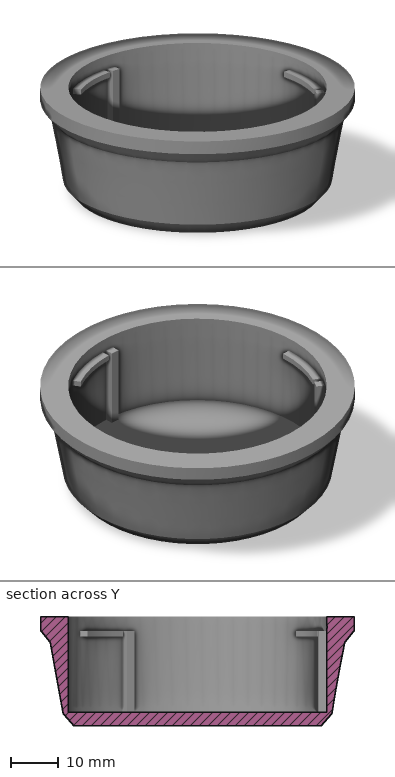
import cadquery as cq
import math

height = 23.0
rim_radius = 33.0
rim_height = 2.85
shoulder_height = 2.6
wall_top_radius = 30.95
wall_bottom_radius = 28.25
base_radius = 25.95
base_chamfer_height = 2.65

cavity_radius = 54.2 / 2
floor_thickness = 3.0

catch_count = 3
wall_overlap = 0.3
catch_inner_radius = 25.35
post_width = 1.9
post_angle = 63.7
catch_top = 20.0
tab_start_angle = 68.0
tab_end_angle = 95.7
tab_thickness = 1.2


def polar_point(radius, angle):
    """Return the XY point at a radius and an angle in degrees."""
    return radius * math.cos(math.radians(angle)), radius * math.sin(math.radians(angle))


def make_cup():
    """Revolve the flanged, tapered body and bore its flat-bottomed cavity."""
    rim_bottom = height - rim_height
    body = (
        cq.Workplane("XZ")
        .moveTo(0, 0)
        .lineTo(base_radius, 0)
        .lineTo(wall_bottom_radius, base_chamfer_height)
        .lineTo(wall_top_radius, rim_bottom - shoulder_height)
        .lineTo(rim_radius, rim_bottom)
        .lineTo(rim_radius, height)
        .lineTo(0, height)
        .close()
        .revolve(360, (0, 0, 0), (0, 1, 0))
    )
    cavity = (
        cq.Workplane("XY")
        .workplane(offset=floor_thickness)
        .circle(cavity_radius)
        .extrude(height - floor_thickness)
    )
    return body.cut(cavity)


def make_post():
    """Make the upright stop post, standing on the floor and rooted in the wall."""
    depth = cavity_radius + wall_overlap - catch_inner_radius
    post = cq.Workplane("XY").box(depth, post_width, catch_top - floor_thickness, centered=(False, True, False))
    return post.translate((catch_inner_radius, 0, floor_thickness)).rotate((0, 0, 0), (0, 0, 1), post_angle)


def make_tab():
    """Make the curved locking tab with radial ends."""
    outer_radius = cavity_radius + wall_overlap
    middle_angle = (tab_start_angle + tab_end_angle) / 2
    return (
        cq.Workplane("XY")
        .workplane(offset=catch_top - tab_thickness)
        .moveTo(*polar_point(catch_inner_radius, tab_start_angle))
        .lineTo(*polar_point(outer_radius, tab_start_angle))
        .threePointArc(polar_point(outer_radius, middle_angle), polar_point(outer_radius, tab_end_angle))
        .lineTo(*polar_point(catch_inner_radius, tab_end_angle))
        .threePointArc(
            polar_point(catch_inner_radius, middle_angle),
            polar_point(catch_inner_radius, tab_start_angle),
        )
        .close()
        .extrude(tab_thickness)
    )


result = make_cup()
for index in range(catch_count):
    turn = index * 360 / catch_count
    for feature in (make_post(), make_tab()):
        result = result.union(feature.rotate((0, 0, 0), (0, 0, 1), turn))